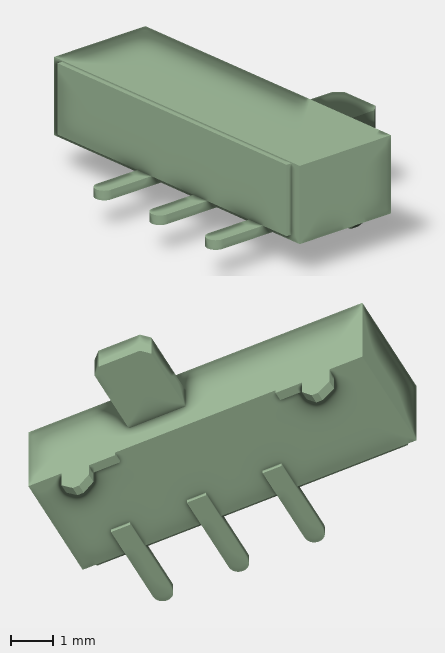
import cadquery as cq


housing_length = 8.8
housing_depth = 2.85
housing_height = 2.0
front_y = -housing_depth

plate_length = 8.2
plate_projection = 0.15
plate_bottom = 0.15
plate_top_gap = 0.03

knob_width = 1.5
knob_height = 0.6
knob_projection = 2.0
knob_x = 1.0
knob_chamfer = 0.2

terminal_pitch = 2.0
terminal_width = 0.5
terminal_drop = 0.1
terminal_inset = 0.8
terminal_projection = 1.505

sheet_thickness = 0.25
leg_outer_x = 3.53
leg_width = 0.72
leg_length = 0.7
leg_straight_length = 0.44
leg_tip_width = 0.17
leg_outer_taper = 0.3
tab_inner_x = 2.11
tab_drop = 0.1


def make_housing():
    housing = cq.Workplane("XY").box(
        housing_length, housing_depth, housing_height, centered=(True, False, False)
    )
    return housing.translate((0, front_y, 0))


def make_front_plate():
    plate_height = housing_height - plate_top_gap - plate_bottom
    plate = cq.Workplane("XY").box(
        plate_length, plate_projection, plate_height, centered=(True, False, False)
    )
    return plate.translate((0, front_y - plate_projection, plate_bottom))


def make_knob():
    knob = cq.Workplane("XY").box(
        knob_width, knob_projection, knob_height, centered=(True, False, True)
    )
    knob = knob.faces(">Y").edges("|Z").chamfer(knob_chamfer)
    return knob.translate((knob_x, 0, housing_height / 2))


def make_terminal(center_x):
    """Flat terminal partly let into the underside, with a round free end."""
    radius = terminal_width / 2
    root_y = front_y + terminal_inset
    tip_y = front_y - plate_projection - terminal_projection
    return (
        cq.Workplane("XY", origin=(center_x, 0, -terminal_drop))
        .moveTo(-radius, root_y)
        .lineTo(-radius, tip_y + radius)
        .threePointArc((0, tip_y), (radius, tip_y + radius))
        .lineTo(radius, root_y)
        .close()
        .extrude(terminal_drop + plate_bottom)
    )


def make_leg():
    """Right-hand leg with a tapered tip, in the sheet at the back of the housing."""
    leg_inner_x = leg_outer_x - leg_width
    tip_outer_x = leg_outer_x - leg_outer_taper
    outline = [
        (leg_outer_x, 0),
        (leg_outer_x, -leg_straight_length),
        (tip_outer_x, -leg_length),
        (tip_outer_x - leg_tip_width, -leg_length),
        (leg_inner_x, -leg_straight_length),
        (leg_inner_x, -tab_drop),
        (tab_inner_x, -tab_drop),
        (tab_inner_x, 0),
    ]
    return cq.Workplane("XZ").polyline(outline).close().extrude(sheet_thickness)


result = make_housing().union(make_front_plate()).union(make_knob())

for step in (-1, 0, 1):
    result = result.union(make_terminal(knob_x + step * terminal_pitch))

leg = make_leg()
result = result.union(leg).union(leg.mirror("YZ"))